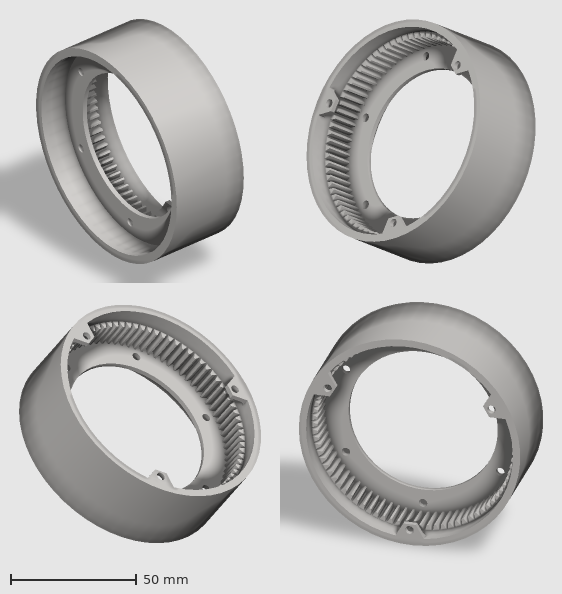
import cadquery as cq
import math

outer_diameter = 92.0
width = 33.9
front_bore_radius = 42.5
flange_bore_radius = 31.0
rear_bore_radius = 43.0

front_y = -width / 2
rear_y = width / 2
front_recess_depth = 12.0
flange_thickness = 2.0
flange_front_y = front_y + front_recess_depth
flange_rear_y = flange_front_y + flange_thickness

screw_hole_diameter = 3.5
flange_hole_count = 6
flange_hole_circle_radius = 37.0

tooth_count = 83
pitch_radius = 41.5
module = 2 * pitch_radius / tooth_count
pressure_angle = math.radians(20)
gear_length = 12.3
tip_radius = pitch_radius - module
tooth_embed = 0.5

tab_count = 3
tab_thickness = 2.0
tab_inner_radius = 36.7
tab_inner_width = 5.15
tab_side_angle = math.radians(30)
tab_fillet_radius = 2.3
tab_hole_circle_radius = 39.3
tab_embed_radius = (outer_diameter / 2 + rear_bore_radius) / 2


def xz_plane_at(y):
    """Plane across the ring axis: local x is +X, local y is +Z, normal is -Y."""
    return cq.Workplane("XZ", origin=(0, y, 0))


def axial_cylinder(radius, start_y, end_y):
    return xz_plane_at(end_y).circle(radius).extrude(end_y - start_y)


def spin(shape, angle):
    """Turn a shape about Y so that +Z moves towards +X."""
    return shape.rotate((0, 0, 0), (0, 1, 0), angle)


def make_body():
    body = axial_cylinder(outer_diameter / 2, front_y, rear_y)
    body = body.cut(axial_cylinder(front_bore_radius, front_y, flange_front_y))
    body = body.cut(axial_cylinder(flange_bore_radius, front_y, rear_y))
    return body.cut(axial_cylinder(rear_bore_radius, flange_rear_y, rear_y))


def half_tooth_width(radius):
    """Straight-flanked tooth, half a pitch thick on the pitch circle and wider towards the root."""
    return math.pi * module / 4 + (radius - pitch_radius) * math.tan(pressure_angle)


def make_teeth():
    """Ring of inward teeth with one tooth centred on the -X side."""
    base_radius = rear_bore_radius + tooth_embed
    tip = half_tooth_width(tip_radius)
    base = half_tooth_width(base_radius)
    tooth = (
        xz_plane_at(flange_rear_y + gear_length)
        .polyline([(-base_radius, -base), (-tip_radius, -tip), (-tip_radius, tip), (-base_radius, base)])
        .close()
        .extrude(gear_length)
    ).val()
    teeth = [spin(tooth, i * 360 / tooth_count) for i in range(tooth_count)]
    return cq.Workplane(cq.Compound.makeCompound(teeth))


def make_tab():
    """Tab on the +Z side, reaching inward: a wedge outline with a concave fillet down to the bore."""
    tab_front_y = rear_y - tab_thickness
    fillet_start_y = tab_front_y - tab_fillet_radius
    fillet_top_radius = rear_bore_radius - tab_fillet_radius
    arc_offset = tab_fillet_radius * math.sqrt(0.5)

    inner_half = tab_inner_width / 2
    outer_half = inner_half + (tab_embed_radius - tab_inner_radius) * math.tan(tab_side_angle)
    outline = (
        xz_plane_at(rear_y)
        .polyline([
            (-inner_half, tab_inner_radius),
            (inner_half, tab_inner_radius),
            (outer_half, tab_embed_radius),
            (-outer_half, tab_embed_radius),
        ])
        .close()
        .extrude(rear_y - fillet_start_y)
    )
    section = (
        cq.Workplane("XY")
        .moveTo(flange_bore_radius, rear_y)
        .lineTo(flange_bore_radius, tab_front_y)
        .lineTo(fillet_top_radius, tab_front_y)
        .threePointArc(
            (fillet_top_radius + arc_offset, fillet_start_y + arc_offset),
            (rear_bore_radius, fillet_start_y),
        )
        .lineTo(outer_diameter / 2, fillet_start_y)
        .lineTo(outer_diameter / 2, rear_y)
        .close()
        .revolve(360, (0, 0, 0), (0, 1, 0))
    )
    hole = axial_cylinder(screw_hole_diameter / 2, fillet_start_y, rear_y)
    return outline.intersect(section).cut(hole.translate((0, 0, tab_hole_circle_radius)))


def make_flange_holes():
    return (
        xz_plane_at(flange_rear_y)
        .polarArray(flange_hole_circle_radius, 90, 360, flange_hole_count)
        .circle(screw_hole_diameter / 2)
        .extrude(flange_thickness)
    )


result = make_body().cut(make_flange_holes()).union(make_teeth())

tab = make_tab()
for i in range(tab_count):
    result = result.union(spin(tab, 180 + i * 360 / tab_count))